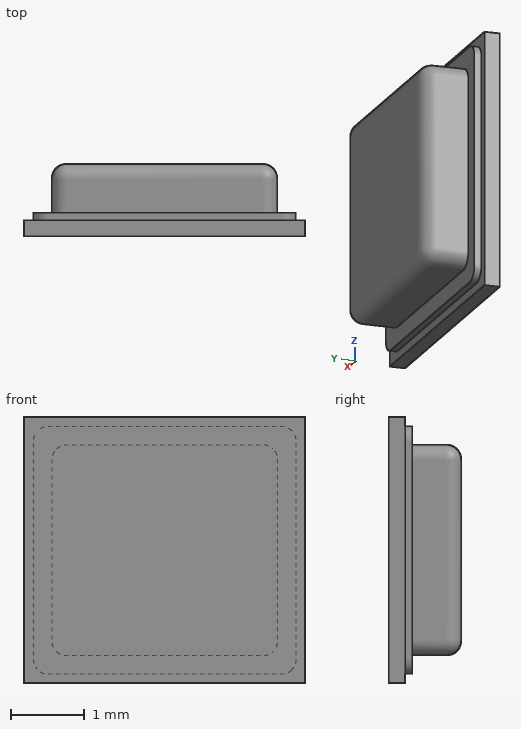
import cadquery as cq

plate_width = 3.8
plate_height = 3.6
plate_thickness = 0.22

flange_inset = 0.125
flange_thickness = 0.1
flange_width = plate_width - 2 * flange_inset
flange_height = plate_height - 2 * flange_inset

lid_inset = 0.25
overall_depth = 0.98
lid_depth = overall_depth - plate_thickness - flange_thickness
lid_width = flange_width - 2 * lid_inset
lid_height = flange_height - 2 * lid_inset

corner_radius = 0.2


def slab(width, depth, height, start_y):
    """Block centred on X and Z, reaching from start_y toward +Y."""
    return cq.Workplane("XY").box(width, depth, height, centered=(True, False, True)).translate((0, start_y, 0))


def make_plate():
    return slab(plate_width, plate_thickness, plate_height, 0)


def make_flange():
    flange = slab(flange_width, flange_thickness, flange_height, plate_thickness)
    return flange.edges("|Y").fillet(corner_radius)


def make_lid():
    lid = slab(lid_width, lid_depth, lid_height, plate_thickness + flange_thickness)
    return lid.edges("|Y or >Y").fillet(corner_radius)


result = make_plate().union(make_flange()).union(make_lid())